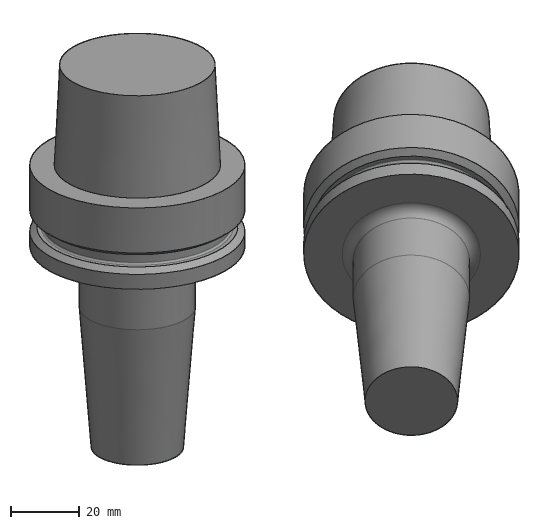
import cadquery as cq
import math

total_height = 122.0
flange_top = 90.0
flange_bottom = 64.0
nose_taper_top = 44.8

flange_radius = 63.0 / 2
groove_floor_radius = 55.0 / 2
shank_radius = 34.0 / 2
nose_end_radius = 27.1 / 2
taper_base_radius = 48.7 / 2
taper_end_radius = 45.5 / 2

groove_centre = 72.2
groove_mouth_width = 6.8
groove_channel_width = 3.9
groove_channel_radius = 29.4
groove_corner_radius = 0.6

shank_fillet_radius = 3.2


def turned_body():
    """Revolve nose, shank, plain flange and upper taper about Z."""
    fillet_start = flange_bottom - shank_fillet_radius
    fillet_end_radius = shank_radius + shank_fillet_radius
    fillet_chord_offset = shank_fillet_radius * (1 - math.sqrt(0.5))
    fillet_middle = (shank_radius + fillet_chord_offset, flange_bottom - fillet_chord_offset)
    return (
        cq.Workplane("XZ")
        .lineTo(nose_end_radius, 0)
        .lineTo(shank_radius, nose_taper_top)
        .lineTo(shank_radius, fillet_start)
        .threePointArc(fillet_middle, (fillet_end_radius, flange_bottom))
        .lineTo(flange_radius, flange_bottom)
        .lineTo(flange_radius, flange_top)
        .lineTo(taper_base_radius, flange_top)
        .lineTo(taper_end_radius, total_height)
        .lineTo(0, total_height)
        .close()
        .revolve(360, (0, 0, 0), (0, 1, 0))
    )


def gripper_groove():
    """Ring to cut from the flange, symmetric about the groove centre."""
    half_section = [
        (flange_radius, groove_mouth_width / 2),
        (groove_channel_radius, groove_channel_width / 2),
        (groove_floor_radius, groove_channel_width / 2),
    ]
    upper_side = [(radius, groove_centre + offset) for radius, offset in half_section]
    lower_side = [(radius, groove_centre - offset) for radius, offset in reversed(half_section)]
    ring = (
        cq.Workplane("XZ")
        .polyline(upper_side + lower_side)
        .close()
        .revolve(360, (0, 0, 0), (0, 1, 0))
    )
    floor_edges = cq.selectors.RadiusNthSelector(0)
    return ring.edges("%CIRCLE").edges(floor_edges).fillet(groove_corner_radius)


result = turned_body().cut(gripper_groove())